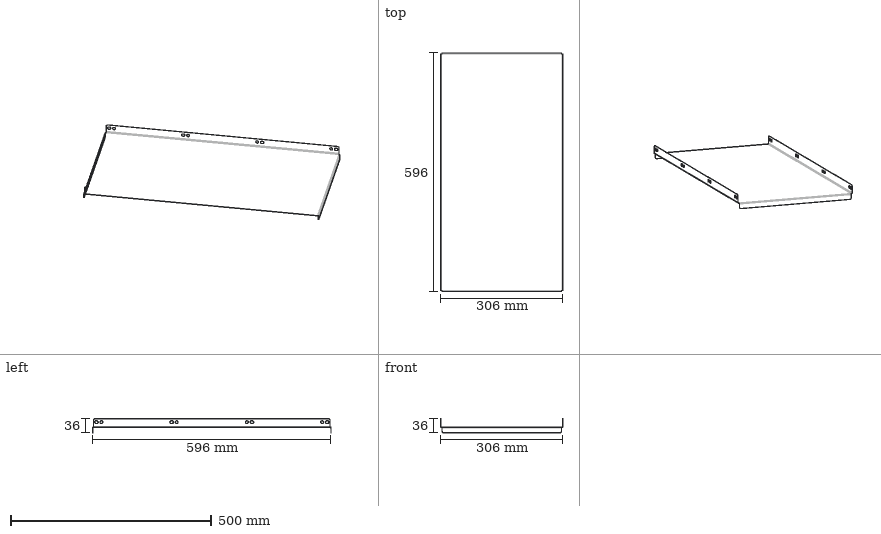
import cadquery as cq

width = 306.0
length = 596.0
height = 36.0

sheet = 1.0
inner_radius = 1.5
bend_radius = inner_radius + sheet

flange_height = 22.0
flange_length = length - 2 * bend_radius
flange_corner_chamfer = 3.0

skirt_height = height - flange_height + sheet
skirt_inset = 3.5
skirt_width = width - 2 * skirt_inset
skirt_corner_radius = 5.0

hole_diameter = 6.5
slot_length = 8.5
hole_drop = 9.0
hole_spacing = 12.5
pair_pitch = 188.0
pairs_per_half = 2

floor_bottom = height - flange_height
floor_top = floor_bottom + sheet


def bent_strip(plane, depth, strip_width):
    """Quarter bend at the local origin, then a straight leg along local +Y.

    The flat face that joins the floor lies on local X = 0 and the bend curves toward +X.
    """
    diagonal = 0.5 ** 0.5
    outer_mid = (bend_radius * diagonal, bend_radius * (1 - diagonal))
    inner_mid = (inner_radius * diagonal, bend_radius - inner_radius * diagonal)
    return (
        cq.Workplane(plane)
        .threePointArc(outer_mid, (bend_radius, bend_radius))
        .lineTo(bend_radius, depth)
        .lineTo(inner_radius, depth)
        .lineTo(inner_radius, bend_radius)
        .threePointArc(inner_mid, (0, sheet))
        .close()
        .extrude(strip_width / 2, both=True)
    )


def side_flange():
    """The +X flange with chamfered top corners."""
    plane = cq.Plane(
        origin=(width / 2 - bend_radius, 0, floor_bottom), xDir=(1, 0, 0), normal=(0, -1, 0)
    )
    flange = bent_strip(plane, flange_height, flange_length)
    return flange.faces(">Z").edges("|X").chamfer(flange_corner_chamfer)


def end_skirt():
    """The +Y skirt with rounded bottom corners."""
    plane = cq.Plane(
        origin=(0, length / 2 - bend_radius, floor_top), xDir=(0, 1, 0), normal=(-1, 0, 0)
    )
    skirt = bent_strip(plane, skirt_height, skirt_width)
    return skirt.faces("<Z").edges("|Y").fillet(skirt_corner_radius)


def flange_hole_cutters():
    """Bars along X that cut the hole pairs through both side flanges."""
    round_holes = []
    slots = []
    for side in (-1, 1):
        for pair in range(pairs_per_half):
            pair_center = (pair + 0.5) * pair_pitch
            round_holes.append((side * (pair_center - hole_spacing / 2), height - hole_drop))
            slots.append((side * (pair_center + hole_spacing / 2), height - hole_drop))
    bars = cq.Workplane("YZ").pushPoints(round_holes).circle(hole_diameter / 2).extrude(width, both=True)
    slot_bars = (
        cq.Workplane("YZ").pushPoints(slots).slot2D(slot_length, hole_diameter).extrude(width, both=True)
    )
    return bars.union(slot_bars)


tray = (
    cq.Workplane("XY", origin=(0, 0, floor_bottom))
    .rect(width - 2 * bend_radius, length - 2 * bend_radius)
    .extrude(sheet)
)

flange = side_flange()
skirt = end_skirt()
tray = tray.union(flange).union(flange.mirror("YZ"))
tray = tray.union(skirt).union(skirt.mirror("XZ"))

result = tray.cut(flange_hole_cutters())